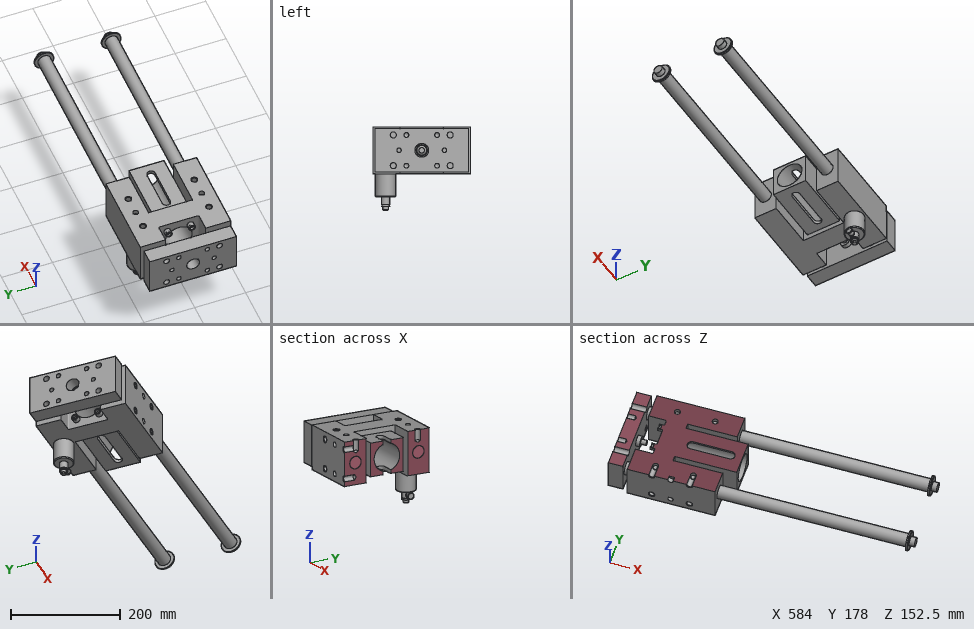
import cadquery as cq
import math


overall_length = 584.0
overall_height = 152.5
rod_offset_y = 66.0
rod_diameter = 25.0

plate_thickness = 28.5
plate_width = 170.5
plate_height = 79.5
plate_through_diameter = 11.0
plate_through_y = 52.0
plate_tapped_diameter = 9.0
plate_tapped_y = 28.0
plate_hole_z = 28.0
plate_tapped_depth = 14.5
plate_dowel_diameter = 8.0
plate_dowel_y = 41.5
plate_dowel_depth = 11.5

coupling_diameter = 20.5
coupling_bore_diameter = 25.0
coupling_bore_depth = 24.0
nose_collar_height = 1.0
nose_base_diameter = 18.0
nose_tip_diameter = 10.0
nose_cone_height = 4.0
coupling_flange_thickness = 7.5
coupling_stub_diameter = 10.0
coupling_stub_length = 10.5

washer_diameter = 38.0
washer_thickness = 4.0
washer_chamfer = 1.0
washer_start_x = 570.0
bolt_head_diameter = 18.0

housing_start_x = 37.5
housing_length = 169.5
housing_width = 178.0
housing_height = 86.0
front_notch_depth = 34.0
front_notch_width = 79.0
front_notch_fillet = 2.5
crossbar_thickness = 40.5
rear_notch_width = 86.5
centre_bore_diameter = 52.5

mount_middle_x = 121.0
mount_spacing_x = 36.0
side_hole_z = 28.0
top_hole_y = 65.0
mount_drill_diameter = 10.0
mount_rim_diameter = 12.0
mount_depth = 21.0
mount_dowel_diameter = 10.0
mount_dowel_depth = 9.0
drill_tip_angle = 118

block_end_x = 230.5
block_width = 69.0
block_height = 65.5
slot_width = 16.0
slot_start_x = 125.0
slot_end_x = 215.5

screw_diameter = 13.0
screw_head_length = 9.5
screw_y = 23.0
screw_z = 25.5
socket_diameter = 8.0
socket_depth = 4.5

cylinder_x = 111.0
cylinder_diameter = 38.0
cylinder_bottom_z = -85.0
cylinder_chamfer = 2.0
stem_diameter = 16.0
stem_bottom_z = -99.0
groove_diameter = 14.0
groove_bottom_z = -102.0
collar_bottom_z = -103.0
tip_diameter = 11.0
tip_chamfer = 2.0
port_z = -92.0
port_neck_diameter = 8.0
port_head_diameter = 11.0
port_head_start_x = 120.0
port_rim_diameter = 12.0
port_rim_start_x = 128.5
port_end_x = 131.0

housing_end_x = housing_start_x + housing_length
crossbar_front_x = housing_start_x + front_notch_depth
crossbar_rear_x = crossbar_front_x + crossbar_thickness
housing_bottom_z = -housing_height / 2
lowest_z = housing_height / 2 - overall_height
SIDES = (-1, 1)


def rod_along_x(diameter, start_x, end_x, y=0.0, z=0.0):
    """Round bar parallel to X."""
    return cq.Workplane("YZ", origin=(start_x, y, z)).circle(diameter / 2).extrude(end_x - start_x)


def block(start_x, end_x, width, height):
    """Rectangular block centred on the slide axis."""
    return cq.Workplane("YZ", origin=(start_x, 0, 0)).rect(width, height).extrude(end_x - start_x)


def drilled_hole(position, direction, diameter, depth, rim_diameter):
    """Blind hole with a conical drill tip and a 45 degree countersunk rim."""
    tip = diameter / 2 / math.tan(math.radians(drill_tip_angle / 2))
    rim_depth = (rim_diameter - diameter) / 2
    start = cq.Vector(*position)
    axis = cq.Vector(*direction)
    hole = cq.Solid.makeCylinder(diameter / 2, depth, start, axis)
    point = cq.Solid.makeCone(diameter / 2, 0, tip, start + axis * depth, axis)
    hole = hole.fuse(point)
    if rim_depth > 0:
        hole = hole.fuse(cq.Solid.makeCone(rim_diameter / 2, diameter / 2, rim_depth, start, axis))
    return hole


def flat_hole(position, direction, diameter, depth):
    """Blind hole with a flat floor."""
    return cq.Solid.makeCylinder(diameter / 2, depth, cq.Vector(*position), cq.Vector(*direction))


def make_slide():
    """Moving body: end plate, coupling and the two guide rods with their end bolts."""
    slide = block(0, plate_thickness, plate_width, plate_height)

    into_plate = (1, 0, 0)
    for side in SIDES:
        slide = slide.cut(flat_hole((0, side * plate_dowel_y, 0), into_plate,
                                    plate_dowel_diameter, plate_dowel_depth))
        for level in SIDES:
            z = level * plate_hole_z
            slide = slide.cut(rod_along_x(plate_through_diameter, 0, plate_thickness,
                                          side * plate_through_y, z))
            slide = slide.cut(drilled_hole((0, side * plate_tapped_y, z), into_plate,
                                           plate_tapped_diameter, plate_tapped_depth,
                                           plate_tapped_diameter))

    slide = slide.cut(rod_along_x(coupling_bore_diameter, 0, coupling_bore_depth))
    nose_base_x = coupling_bore_depth - nose_collar_height
    nose = cq.Solid.makeCone(nose_base_diameter / 2, nose_tip_diameter / 2, nose_cone_height,
                             cq.Vector(nose_base_x, 0, 0), cq.Vector(-1, 0, 0))
    flange_end_x = plate_thickness + coupling_flange_thickness
    stub_end_x = flange_end_x + coupling_stub_length
    slide = slide.union(rod_along_x(coupling_diameter, nose_base_x, coupling_bore_depth))
    slide = slide.union(cq.Workplane(nose))
    slide = slide.union(rod_along_x(coupling_diameter, plate_thickness, flange_end_x))
    slide = slide.union(rod_along_x(coupling_stub_diameter, flange_end_x, stub_end_x))

    washer_end_x = washer_start_x + washer_thickness
    for side in SIDES:
        y = side * rod_offset_y
        slide = slide.union(rod_along_x(rod_diameter, plate_thickness, washer_start_x, y))
        washer = rod_along_x(washer_diameter, washer_start_x, washer_end_x, y)
        slide = slide.union(washer.faces(">X").edges().chamfer(washer_chamfer))
        slide = slide.union(rod_along_x(bolt_head_diameter, washer_end_x, overall_length, y))
    return slide


def make_frame():
    """H-shaped frame of the housing, bored for the two rods."""
    frame = block(housing_start_x, housing_end_x, housing_width, housing_height)
    front_notch = block(housing_start_x, crossbar_front_x, front_notch_width, housing_height)
    front_notch = front_notch.edges("|Z and >X").fillet(front_notch_fillet)
    frame = frame.cut(front_notch)
    frame = frame.cut(block(crossbar_rear_x, housing_end_x, rear_notch_width, housing_height))
    for side in SIDES:
        frame = frame.cut(rod_along_x(rod_diameter, housing_start_x, housing_end_x,
                                      side * rod_offset_y))
    return frame


def cut_mounting_holes(frame):
    """Two rows of three holes in the -Y side and in the top."""
    for row in SIDES:
        side_row = (-housing_width / 2, row * side_hole_z)
        top_row = (row * top_hole_y, housing_height / 2)
        for (y, z), direction in ((side_row, (0, 1, 0)), (top_row, (0, 0, -1))):
            frame = frame.cut(flat_hole((mount_middle_x, y, z), direction,
                                        mount_dowel_diameter, mount_dowel_depth))
            for step in SIDES:
                position = (mount_middle_x + step * mount_spacing_x, y, z)
                frame = frame.cut(drilled_hole(position, direction, mount_drill_diameter,
                                               mount_depth, mount_rim_diameter))
    return frame


def make_rear_block():
    """Block behind the crossbar, slotted from top to bottom."""
    rear_block = block(crossbar_rear_x, block_end_x, block_width, block_height)
    slot_middle_x = (slot_start_x + slot_end_x) / 2
    slot = (
        cq.Workplane("XY", origin=(slot_middle_x, 0, -block_height / 2))
        .slot2D(slot_end_x - slot_start_x, slot_width)
        .extrude(block_height)
    )
    return rear_block.cut(slot)


def make_cap_screw(y, z):
    """Screw head with a round socket, standing on the front of the crossbar."""
    head_start_x = crossbar_front_x - screw_head_length
    head = rod_along_x(screw_diameter, head_start_x, crossbar_front_x, y, z)
    return head.cut(rod_along_x(socket_diameter, head_start_x, head_start_x + socket_depth, y, z))


def make_nozzle():
    """Cylinder under the +Y leg with a stepped nozzle below it and a port toward +X."""
    profile = [
        (0, housing_bottom_z),
        (cylinder_diameter / 2, housing_bottom_z),
        (cylinder_diameter / 2, cylinder_bottom_z + cylinder_chamfer),
        (cylinder_diameter / 2 - cylinder_chamfer, cylinder_bottom_z),
        (stem_diameter / 2, cylinder_bottom_z),
        (stem_diameter / 2, stem_bottom_z),
        (groove_diameter / 2, stem_bottom_z),
        (groove_diameter / 2, groove_bottom_z),
        (stem_diameter / 2, groove_bottom_z),
        (stem_diameter / 2, collar_bottom_z),
        (tip_diameter / 2, collar_bottom_z),
        (tip_diameter / 2, lowest_z + tip_chamfer),
        (tip_diameter / 2 - tip_chamfer, lowest_z),
        (0, lowest_z),
    ]
    nozzle = (
        cq.Workplane("XZ", origin=(cylinder_x, rod_offset_y, 0))
        .polyline(profile)
        .close()
        .revolve(360, (0, 0, 0), (0, 1, 0))
    )
    port_sections = (
        (port_neck_diameter, cylinder_x, port_head_start_x),
        (port_head_diameter, port_head_start_x, port_rim_start_x),
        (port_rim_diameter, port_rim_start_x, port_end_x),
    )
    for diameter, start_x, end_x in port_sections:
        nozzle = nozzle.union(rod_along_x(diameter, start_x, end_x, rod_offset_y, port_z))
    return nozzle


def make_housing():
    """Fixed body: frame, rear block, cap screws and the nozzle cylinder."""
    housing = cut_mounting_holes(make_frame())
    housing = housing.union(make_rear_block())
    housing = housing.cut(rod_along_x(centre_bore_diameter, crossbar_front_x, block_end_x))
    for side in SIDES:
        for level in SIDES:
            housing = housing.union(make_cap_screw(side * screw_y, level * screw_z))
    return housing.union(make_nozzle())


slide = make_slide()
housing = make_housing()

result = cq.Compound.makeCompound([slide.val(), housing.val()])